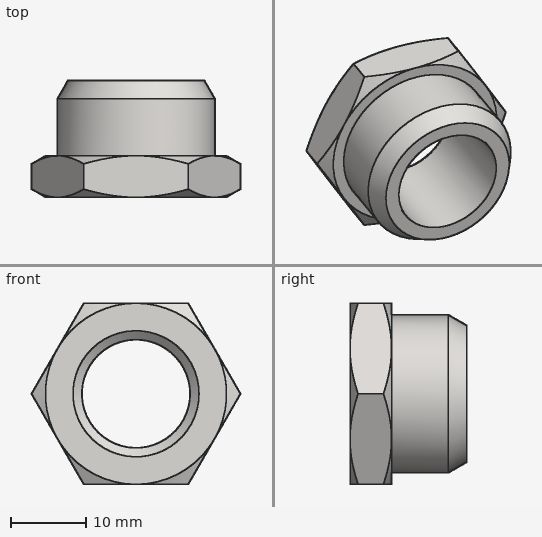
import cadquery as cq
import math

across_flats = 24.0
head_length = 5.5
head_chamfer_angle = 30.0

shank_diameter = 20.955
shank_length = 10.0
tip_diameter = 18.1
lead_in_angle = 30.0

bore_diameter = 14.3
countersink_diameter = 16.7
countersink_angle = 45.0

across_corners = across_flats / math.cos(math.radians(30))
total_length = head_length + shank_length


def revolve_about_y(radius_and_y_points):
    """Solid of revolution about the Y axis from a closed (radius, y) outline."""
    outline = cq.Workplane("XY").polyline(radius_and_y_points).close()
    return outline.revolve(360, (0, 0, 0), (0, 1, 0))


def make_head():
    """Hexagon with corners on the X axis, both faces chamfered conically."""
    hexagon = cq.Workplane("XZ").polygon(6, across_corners).extrude(-head_length)
    face_radius = across_flats / 2
    corner_radius = across_corners / 2
    corner_drop = (corner_radius - face_radius) * math.tan(math.radians(head_chamfer_angle))
    chamfer_envelope = revolve_about_y([
        (0, 0),
        (face_radius, 0),
        (corner_radius, corner_drop),
        (corner_radius, head_length - corner_drop),
        (face_radius, head_length),
        (0, head_length),
    ])
    return hexagon.intersect(chamfer_envelope)


def make_shank():
    """Cylinder tapering to a lead-in at its free end."""
    shank_radius = shank_diameter / 2
    tip_radius = tip_diameter / 2
    lead_in_length = (shank_radius - tip_radius) / math.tan(math.radians(lead_in_angle))
    return revolve_about_y([
        (0, 0),
        (shank_radius, 0),
        (shank_radius, total_length - lead_in_length),
        (tip_radius, total_length),
        (0, total_length),
    ])


def make_bore():
    """Through bore with a conical countersink at the head face."""
    bore_radius = bore_diameter / 2
    countersink_radius = countersink_diameter / 2
    countersink_depth = (countersink_radius - bore_radius) / math.tan(math.radians(countersink_angle))
    return revolve_about_y([
        (0, 0),
        (countersink_radius, 0),
        (bore_radius, countersink_depth),
        (bore_radius, total_length),
        (0, total_length),
    ])


result = make_head().union(make_shank()).cut(make_bore())